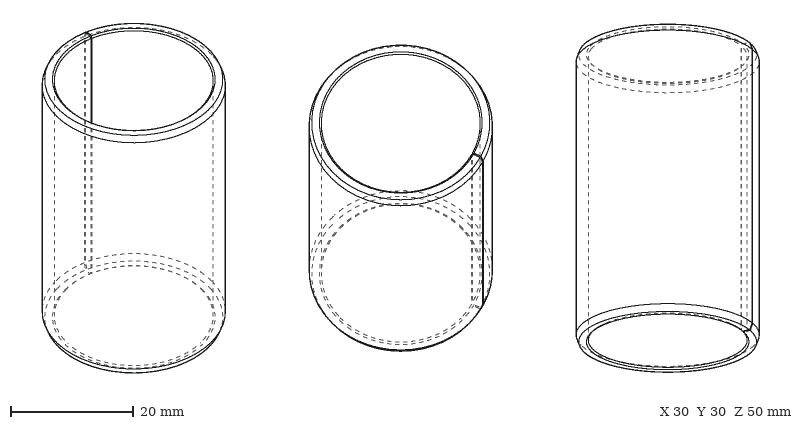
import cadquery as cq
import math

length = 50.0
outer_radius = 15.0
wall = 2.0
inner_radius = outer_radius - wall
lead_in_length = 1.2
lead_in_angle = 20.0
lead_in_depth = lead_in_length * math.tan(math.radians(lead_in_angle))
bore_chamfer = 0.3
gap_angle = 1.0


def wall_section():
    """Wall on the -X side, with tapered ends outside and broken edges inside."""
    radius_and_height = [
        (inner_radius, bore_chamfer),
        (inner_radius + bore_chamfer, 0),
        (outer_radius - lead_in_depth, 0),
        (outer_radius, lead_in_length),
        (outer_radius, length - lead_in_length),
        (outer_radius - lead_in_depth, length),
        (inner_radius + bore_chamfer, length),
        (inner_radius, length - bore_chamfer),
    ]
    points = [(-radius, height) for radius, height in radius_and_height]
    return cq.Workplane("XZ").polyline(points).close()


result = wall_section().revolve(360 - gap_angle, (0, 0), (0, 1))